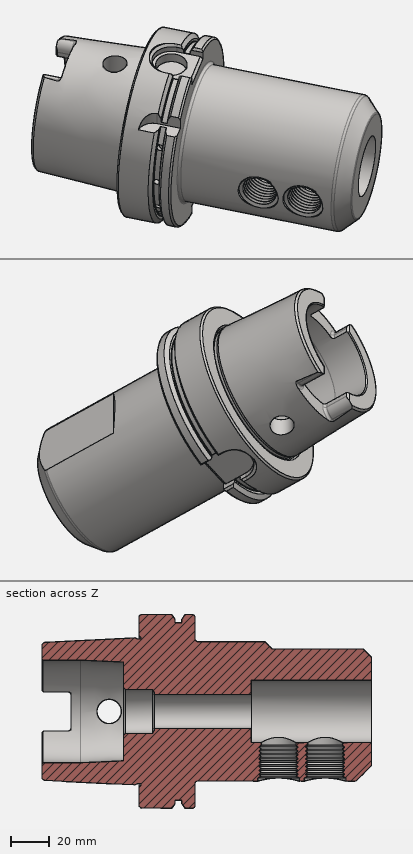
import cadquery as cq
import math


SHANK_LENGTH = 50.0
SHANK_BIG_RADIUS = 38.0
TAPER_SLOPE = 0.05
TAPER_END = -2.0
RIM_CHAMFER_LENGTH = 1.2
RIM_CHAMFER_HEIGHT = 0.9
RELIEF_NECK_RADIUS = 37.4
RELIEF_STEP_LENGTH = 1.3
RELIEF_OUTER_RADIUS = 39.1
RELIEF_DEPTH = 1.0

FLANGE_RADIUS = 50.0
FLANGE_LENGTH = 29.0
FLANGE_CHAMFER = 1.0
GROOVE_CENTER = 20.4
GROOVE_MOUTH_WIDTH = 6.7
GROOVE_WIDTH = 3.4
GROOVE_FLOOR_RADIUS = 45.8
GROOVE_WALL_HEIGHT = 1.7
GROOVE_CORNER_CHAMFER = 0.3

NOSE_RADIUS = 36.0
NOSE_END = 120.0
NOSE_END_RADIUS = 28.0
NOSE_CONE_LENGTH = 8.0
NOSE_BLEND_RADIUS = 2.0
NOSE_RIM_FILLET = 1.2
NOSE_ROOT_FILLET = 1.5
FLAT_Y = 32.3
FLAT_START = 65.0

RIM_BORE_RADIUS = 26.4
RIM_BORE_CHAMFER = 0.6
RIM_BORE_DEPTH = 20.0
CAVITY_FLOOR_RADIUS = 25.4
CAVITY_END = -8.0
TUBE_BORE_RADIUS = 11.3
TUBE_BORE_DEPTH = 15.0
TUBE_BORE_CHAMFER = 1.1
COOLANT_RADIUS = 8.7
TUBE_BORE_CONE_END_RADIUS = 9.5
TUBE_BORE_CONE_ANGLE = 30.0
TOOL_BORE_RADIUS = 16.0
TOOL_BORE_DEPTH = 62.0

KEYWAY_WIDTH = 20.0
KEYWAY_DEPTH_TOP = 10.0
KEYWAY_DEPTH_BOTTOM = 15.0
KEYWAY_CORNER_RADIUS = 5.0
KEYWAY_LAND_Z = 32.3
KEYWAY_FLOOR_FILLET = 1.5
KEYWAY_MOUTH_CHAMFER = 1.0

ACCESS_HOLE_DIAMETER = 12.4
ACCESS_HOLE_X = -15.3

SLOT_WIDTH = 20.0
SLOT_CENTER_X = 15.0
SLOT_FLOOR_Z = 44.4
SLOT_EDGE_CHAMFER = 1.4
SLOT_END_CHAMFER = 1.4
CHIP_HOLE_DIAMETER = 16.2
CHIP_HOLE_DEPTH = 5.5

NOTCH_FLOOR_Z = 31.6
NOTCH_WALL_Y = -31.6
NOTCH_CUTTER_RADIUS = 8.0
NOTCH_CENTER_X = 16.5

BALANCE_HOLE_ANGLES = (30.0, 5.0, -20.0, -30.0)
BALANCE_HOLE_DIAMETER = 3.0
BALANCE_HOLE_DEPTH = 5.0

SCREW_POSITIONS = (NOSE_END - 24.0, NOSE_END - 48.0)
THREAD_MAJOR_RADIUS = 10.0
THREAD_MINOR_RADIUS = 8.9
THREAD_PITCH = 2.0
THREAD_MOUTH_RADIUS = 10.7
THREAD_MOUTH_CHAMFER_LENGTH = 1.0

CLEARANCE = 5.0


def revolve_x(points):
    """Turn an (x, radius) outline about the X axis."""
    profile = cq.Workplane("XY").polyline(points).close()
    return profile.revolve(360, (0, 0, 0), (1, 0, 0))


def turned_body():
    rim_radius = SHANK_BIG_RADIUS - TAPER_SLOPE * (SHANK_LENGTH + TAPER_END)
    chamfer_end = -SHANK_LENGTH + RIM_CHAMFER_LENGTH
    half_mouth = GROOVE_MOUTH_WIDTH / 2
    half_groove = GROOVE_WIDTH / 2
    half_floor = half_groove - GROOVE_CORNER_CHAMFER
    groove_corner = GROOVE_FLOOR_RADIUS + GROOVE_CORNER_CHAMFER
    groove_wall_top = GROOVE_FLOOR_RADIUS + GROOVE_WALL_HEIGHT
    flange_chamfer_radius = FLANGE_RADIUS - FLANGE_CHAMFER
    outline = [
        (-SHANK_LENGTH, 0),
        (-SHANK_LENGTH, rim_radius - RIM_CHAMFER_HEIGHT),
        (chamfer_end, rim_radius + TAPER_SLOPE * RIM_CHAMFER_LENGTH),
        (TAPER_END, SHANK_BIG_RADIUS),
        (TAPER_END + RELIEF_STEP_LENGTH, RELIEF_NECK_RADIUS),
        (RELIEF_DEPTH, RELIEF_NECK_RADIUS),
        (RELIEF_DEPTH, RELIEF_OUTER_RADIUS - RELIEF_DEPTH),
        (0, RELIEF_OUTER_RADIUS),
        (0, flange_chamfer_radius),
        (FLANGE_CHAMFER, FLANGE_RADIUS),
        (GROOVE_CENTER - half_mouth, FLANGE_RADIUS),
        (GROOVE_CENTER - half_groove, groove_wall_top),
        (GROOVE_CENTER - half_groove, groove_corner),
        (GROOVE_CENTER - half_floor, GROOVE_FLOOR_RADIUS),
        (GROOVE_CENTER + half_floor, GROOVE_FLOOR_RADIUS),
        (GROOVE_CENTER + half_groove, groove_corner),
        (GROOVE_CENTER + half_groove, groove_wall_top),
        (GROOVE_CENTER + half_mouth, FLANGE_RADIUS),
        (FLANGE_LENGTH - FLANGE_CHAMFER, FLANGE_RADIUS),
        (FLANGE_LENGTH, flange_chamfer_radius),
        (FLANGE_LENGTH, NOSE_RADIUS),
        (NOSE_END - NOSE_CONE_LENGTH, NOSE_RADIUS),
        (NOSE_END, NOSE_END_RADIUS),
        (NOSE_END, 0),
    ]
    body = revolve_x(outline)
    nose_shoulder = cq.selectors.BoxSelector(
        (NOSE_END - NOSE_CONE_LENGTH - 1, -FLANGE_RADIUS, -FLANGE_RADIUS),
        (NOSE_END - NOSE_CONE_LENGTH + 1, FLANGE_RADIUS, FLANGE_RADIUS),
        boundingbox=True,
    )
    body = body.edges(nose_shoulder).edges("%CIRCLE").fillet(NOSE_BLEND_RADIUS)
    body = body.faces(">X").edges().fillet(NOSE_RIM_FILLET)
    nose_root = cq.selectors.BoxSelector(
        (FLANGE_LENGTH - 0.1, -NOSE_RADIUS - 1, -NOSE_RADIUS - 1),
        (FLANGE_LENGTH + 0.1, NOSE_RADIUS + 1, NOSE_RADIUS + 1),
        boundingbox=True,
    )
    return body.edges(nose_root).edges("%CIRCLE").fillet(NOSE_ROOT_FILLET)


def axial_bores():
    """Stepped bore from the shank rim through to the tool bore in the nose."""
    rim_bore_end = -SHANK_LENGTH + RIM_BORE_DEPTH
    tube_bore_end = CAVITY_END + TUBE_BORE_DEPTH
    tube_cone_length = (TUBE_BORE_RADIUS - TUBE_BORE_CONE_END_RADIUS) * math.tan(
        math.radians(TUBE_BORE_CONE_ANGLE)
    )
    tube_cone_end = tube_bore_end + tube_cone_length
    tool_bore_floor = NOSE_END - TOOL_BORE_DEPTH
    outline = [
        (-SHANK_LENGTH, 0),
        (-SHANK_LENGTH, RIM_BORE_RADIUS + RIM_BORE_CHAMFER),
        (-SHANK_LENGTH + RIM_BORE_CHAMFER, RIM_BORE_RADIUS),
        (rim_bore_end, RIM_BORE_RADIUS),
        (CAVITY_END, CAVITY_FLOOR_RADIUS),
        (CAVITY_END, TUBE_BORE_RADIUS + TUBE_BORE_CHAMFER),
        (CAVITY_END + TUBE_BORE_CHAMFER, TUBE_BORE_RADIUS),
        (tube_bore_end, TUBE_BORE_RADIUS),
        (tube_cone_end, TUBE_BORE_CONE_END_RADIUS),
        (tube_cone_end, COOLANT_RADIUS),
        (tool_bore_floor, COOLANT_RADIUS),
        (tool_bore_floor, TOOL_BORE_RADIUS),
        (NOSE_END, TOOL_BORE_RADIUS),
        (NOSE_END, 0),
    ]
    return revolve_x(outline)


def keyway(depth):
    """Cutter for the keyway on the +Z side of the shank rim, flared by rounded wall corners."""
    half_width = KEYWAY_WIDTH / 2
    corner_start_z = KEYWAY_LAND_Z - KEYWAY_CORNER_RADIUS
    land_y = half_width + KEYWAY_CORNER_RADIUS
    arc_y = land_y - KEYWAY_CORNER_RADIUS * math.cos(math.pi / 4)
    arc_z = corner_start_z + KEYWAY_CORNER_RADIUS * math.sin(math.pi / 4)
    outer_y = land_y + CLEARANCE
    outer_z = SHANK_BIG_RADIUS + CLEARANCE
    floor_z = RIM_BORE_RADIUS - CLEARANCE
    cutter = (
        cq.Workplane("YZ", origin=(-SHANK_LENGTH, 0, 0))
        .moveTo(-half_width, floor_z)
        .lineTo(half_width, floor_z)
        .lineTo(half_width, corner_start_z)
        .threePointArc((arc_y, arc_z), (land_y, KEYWAY_LAND_Z))
        .lineTo(outer_y, KEYWAY_LAND_Z)
        .lineTo(outer_y, outer_z)
        .lineTo(-outer_y, outer_z)
        .lineTo(-outer_y, KEYWAY_LAND_Z)
        .lineTo(-land_y, KEYWAY_LAND_Z)
        .threePointArc((-arc_y, arc_z), (-half_width, corner_start_z))
        .close()
        .extrude(depth)
    )
    cutter = cutter.faces(">X").edges().fillet(KEYWAY_FLOOR_FILLET)
    mouth_half = half_width + KEYWAY_MOUTH_CHAMFER
    mouth = (
        cq.Workplane("XY", origin=(0, 0, floor_z))
        .moveTo(-SHANK_LENGTH, -mouth_half)
        .lineTo(-SHANK_LENGTH, mouth_half)
        .lineTo(-SHANK_LENGTH + KEYWAY_MOUTH_CHAMFER, half_width)
        .lineTo(-SHANK_LENGTH + KEYWAY_MOUTH_CHAMFER, -half_width)
        .close()
        .extrude(outer_z - floor_z)
    )
    return cutter.union(mouth)


def access_holes():
    return cq.Workplane("XY").center(ACCESS_HOLE_X, 0).circle(ACCESS_HOLE_DIAMETER / 2).extrude(
        SHANK_BIG_RADIUS + CLEARANCE, both=True
    )


def slot_prism(half_width, end_x, bottom_z, height):
    """Round-ended slot prism running in +X from its rounded end."""
    return (
        cq.Workplane("XY", origin=(0, 0, bottom_z))
        .moveTo(end_x, half_width)
        .lineTo(SLOT_CENTER_X, half_width)
        .threePointArc((SLOT_CENTER_X - half_width, 0), (SLOT_CENTER_X, -half_width))
        .lineTo(end_x, -half_width)
        .close()
        .extrude(height)
    )


def driver_slot():
    """Cutter for the round-ended slot on the +Z side of the flange."""
    half_width = SLOT_WIDTH / 2
    end_x = FLANGE_LENGTH + SLOT_END_CHAMFER
    chamfer_bottom_z = math.sqrt(FLANGE_RADIUS**2 - half_width**2) - SLOT_EDGE_CHAMFER
    slot = slot_prism(half_width, end_x, SLOT_FLOOR_Z, FLANGE_RADIUS - SLOT_FLOOR_Z)
    edge = slot_prism(
        half_width + SLOT_EDGE_CHAMFER, end_x, chamfer_bottom_z, FLANGE_RADIUS - chamfer_bottom_z
    )
    edge = edge.faces("<Z").edges("not >X").chamfer(SLOT_EDGE_CHAMFER * 0.999)
    end_chamfer = (
        cq.Workplane("XZ", origin=(0, half_width, 0))
        .moveTo(FLANGE_LENGTH - SLOT_END_CHAMFER, SLOT_FLOOR_Z)
        .lineTo(FLANGE_LENGTH, SLOT_FLOOR_Z)
        .lineTo(FLANGE_LENGTH, SLOT_FLOOR_Z - SLOT_END_CHAMFER)
        .close()
        .extrude(SLOT_WIDTH)
    )
    return slot.union(edge).union(end_chamfer)


def chip_hole():
    return (
        cq.Workplane("XY", origin=(SLOT_CENTER_X, 0, SLOT_FLOOR_Z - CHIP_HOLE_DEPTH))
        .circle(CHIP_HOLE_DIAMETER / 2)
        .extrude(CHIP_HOLE_DEPTH)
    )


def orientation_notch():
    """Corner cut in the flange rim, left by a cutter of vertical axis leaving through the nose side."""
    center_y = NOTCH_WALL_Y - NOTCH_CUTTER_RADIUS
    outer_y = -FLANGE_RADIUS - CLEARANCE
    return (
        cq.Workplane("XY", origin=(0, 0, NOTCH_FLOOR_Z))
        .moveTo(FLANGE_LENGTH, NOTCH_WALL_Y)
        .lineTo(NOTCH_CENTER_X, NOTCH_WALL_Y)
        .radiusArc((NOTCH_CENTER_X - NOTCH_CUTTER_RADIUS, center_y), -NOTCH_CUTTER_RADIUS)
        .lineTo(NOTCH_CENTER_X - NOTCH_CUTTER_RADIUS, outer_y)
        .lineTo(FLANGE_LENGTH, outer_y)
        .close()
        .extrude(FLANGE_RADIUS)
    )


def balance_hole(angle):
    """Radial hole in the groove floor, at an angle above the -Y direction."""
    start_radius = GROOVE_FLOOR_RADIUS - BALANCE_HOLE_DEPTH
    direction = cq.Vector(0, -math.cos(math.radians(angle)), math.sin(math.radians(angle)))
    start = direction * start_radius + cq.Vector(GROOVE_CENTER, 0, 0)
    return cq.Workplane(
        cq.Solid.makeCylinder(BALANCE_HOLE_DIAMETER / 2, BALANCE_HOLE_DEPTH + 1, start, direction)
    )


def screw_thread(x):
    """Threaded hole from the -Y side into the tool bore, its thread cut as equal V rings."""
    mouth_y = -math.sqrt(NOSE_RADIUS**2 - THREAD_MOUTH_RADIUS**2)
    chamfer_end_y = mouth_y + THREAD_MOUTH_CHAMFER_LENGTH
    thread_end_y = -TOOL_BORE_RADIUS
    outline = [
        (0, -NOSE_RADIUS),
        (THREAD_MOUTH_RADIUS, -NOSE_RADIUS),
        (THREAD_MOUTH_RADIUS, mouth_y),
        (THREAD_MINOR_RADIUS, chamfer_end_y),
    ]
    turns = int((thread_end_y - chamfer_end_y) / THREAD_PITCH)
    for turn in range(turns):
        ring_y = chamfer_end_y + turn * THREAD_PITCH
        outline.append((THREAD_MAJOR_RADIUS, ring_y + THREAD_PITCH / 2))
        outline.append((THREAD_MINOR_RADIUS, ring_y + THREAD_PITCH))
    outline.append((THREAD_MINOR_RADIUS, 0))
    outline.append((0, 0))
    hole = cq.Workplane("XY").polyline(outline).close().revolve(360, (0, 0, 0), (0, 1, 0))
    return hole.translate((x, 0, 0))


def nose_flat():
    """Flat on the +Y side of the nose, run out at 45 degrees towards the flange."""
    rise = NOSE_RADIUS + CLEARANCE - FLAT_Y
    runout_start = FLAT_START + NOSE_RADIUS - FLAT_Y
    return (
        cq.Workplane("XY")
        .moveTo(runout_start, FLAT_Y)
        .lineTo(NOSE_END, FLAT_Y)
        .lineTo(NOSE_END, FLAT_Y + rise)
        .lineTo(runout_start - rise, FLAT_Y + rise)
        .close()
        .extrude(NOSE_RADIUS, both=True)
    )


def to_bottom(cutter):
    """Turn a +Z side cutter about X to the -Z side."""
    return cutter.rotate((0, 0, 0), (1, 0, 0), 180)


result = turned_body().cut(axial_bores())
result = result.cut(keyway(KEYWAY_DEPTH_TOP)).cut(to_bottom(keyway(KEYWAY_DEPTH_BOTTOM)))
result = result.cut(access_holes())
result = result.cut(driver_slot()).cut(to_bottom(driver_slot()))
result = result.cut(chip_hole()).cut(orientation_notch())
for hole_angle in BALANCE_HOLE_ANGLES:
    result = result.cut(balance_hole(hole_angle))
for screw_x in SCREW_POSITIONS:
    result = result.cut(screw_thread(screw_x))
result = result.cut(nose_flat())